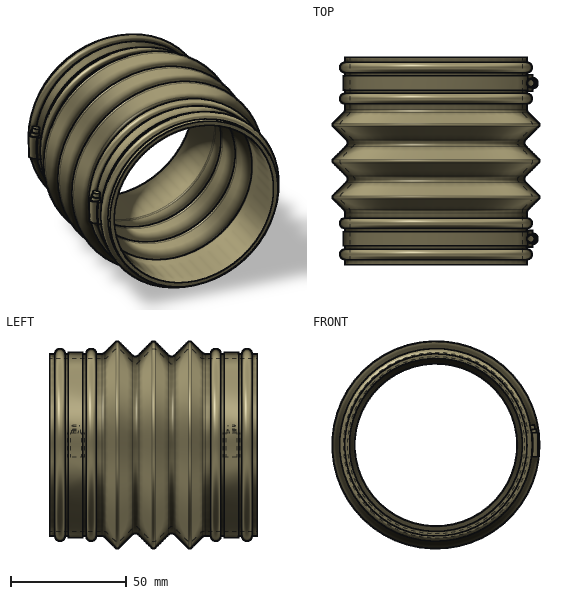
import math

import cadquery as cq

length = 90.0
half_length = length / 2
wall = 2.0
cuff_bore_radius = 37.5
cuff_radius = cuff_bore_radius + wall
root_depth = wall / 2
root_radius = cuff_radius - root_depth

fold_radius = 45.0
fold_count = 3
fold_pitch = 15.7
ridge_rounding = 1.0
groove_rounding = 2.0

bead_section_radius = 2.25
bead_offsets = (4.5, 18.0)

clamp_offset = sum(bead_offsets) / 2
band_radius = 40.25
band_width = 6.2

saddle_radius = 42.0
saddle_width = 7.3
saddle_length = 10.4
worm_housing_radius = 2.4
worm_housing_x = 41.8
screw_tilt = 12.0
screw_head_x = 41.2
screw_head_z = 7.5
screw_head_radius = 1.65
screw_head_height = 1.9
screw_collar_radius = 2.0
screw_collar_length = 2.5


def sharp_excess(rounding):
    """Distance from a sharp 90 degree corner to the crown of its rounding."""
    return rounding * (math.sqrt(2) - 1)


def fold_corners(end_radius, ridge_radius, ridge_round, groove_round):
    """Corners (radius, y, rounding) of one skin of the sleeve; ridge_radius is the sharp apex."""
    half_pitch = fold_pitch / 2
    groove_radius = ridge_radius - half_pitch
    last_ridge_y = fold_pitch * (fold_count - 1) / 2
    cuff_y = last_ridge_y + ridge_radius - end_radius
    corners = [(end_radius, -cuff_y, groove_round)]
    for fold in range(fold_count):
        ridge_y = fold * fold_pitch - last_ridge_y
        if fold > 0:
            corners.append((groove_radius, ridge_y - half_pitch, groove_round))
        corners.append((ridge_radius, ridge_y, ridge_round))
    corners.append((end_radius, cuff_y, groove_round))
    return corners


def rounded_outline(end_radius, corners):
    """Closed outline from the axis to the skin, each corner replaced by a tangent arc."""
    path = [(end_radius, -half_length, 0), *corners, (end_radius, half_length, 0)]
    outline = cq.Workplane("XY").moveTo(0, -half_length).lineTo(end_radius, -half_length)
    for before, corner, after in zip(path, path[1:], path[2:]):
        vertex = cq.Vector(corner[0], corner[1])
        back = (cq.Vector(before[0], before[1]) - vertex).normalized()
        ahead = (cq.Vector(after[0], after[1]) - vertex).normalized()
        half_angle = back.getAngle(ahead) / 2
        tangent_length = corner[2] / math.tan(half_angle)
        crown_distance = corner[2] / math.sin(half_angle) - corner[2]
        start = vertex + back * tangent_length
        crown = vertex + (back + ahead).normalized() * crown_distance
        end = vertex + ahead * tangent_length
        outline = outline.lineTo(start.x, start.y)
        outline = outline.threePointArc((crown.x, crown.y), (end.x, end.y))
    return outline.lineTo(end_radius, half_length).lineTo(0, half_length).close()


def revolve_about_y(outline):
    return outline.revolve(360, (0, 0, 0), (0, 1, 0))


def make_sleeve():
    outer_apex = fold_radius + sharp_excess(ridge_rounding)
    inner_apex = outer_apex - wall * math.sqrt(2)
    outer = fold_corners(cuff_radius, outer_apex, ridge_rounding, groove_rounding)
    inner = fold_corners(cuff_bore_radius, inner_apex, groove_rounding, ridge_rounding)
    body = revolve_about_y(rounded_outline(cuff_radius, outer))
    bore = revolve_about_y(rounded_outline(cuff_bore_radius, inner))
    return body.cut(bore)


def make_ring(inner_radius, outer_radius, width, y):
    """Flat ring about the Y axis, centred at y."""
    middle_radius = (inner_radius + outer_radius) / 2
    section = cq.Workplane("XY").center(middle_radius, y).rect(outer_radius - inner_radius, width)
    return section.revolve(360, (-middle_radius, 0, 0), (-middle_radius, 1, 0))


def make_bead(y):
    """Bead of circular section whose root is buried in the middle of the cuff wall."""
    crest_radius = cuff_radius + bead_section_radius
    half_root = math.sqrt(bead_section_radius**2 - root_depth**2)
    section = (
        cq.Workplane("XY")
        .moveTo(root_radius, y - half_root)
        .threePointArc((crest_radius, y), (root_radius, y + half_root))
        .close()
    )
    return revolve_about_y(section)


def make_screw(y):
    """Screw head and collar leaning inward toward the head end."""
    lean = math.radians(screw_tilt)
    axis = cq.Vector(-math.sin(lean), 0, math.cos(lean))
    head_base = cq.Vector(screw_head_x, y, screw_head_z) - axis * (screw_head_height / 2)
    head = cq.Solid.makeCylinder(screw_head_radius, screw_head_height, head_base, axis)
    collar = cq.Solid.makeCylinder(screw_collar_radius, screw_collar_length, head_base, axis * -1)
    return cq.Workplane(obj=head).union(cq.Workplane(obj=collar))


def make_clamp(y):
    band = make_ring(root_radius, band_radius, band_width, y)
    saddle_limits = cq.Workplane("XY").box(saddle_radius, saddle_width, saddle_length)
    saddle_limits = saddle_limits.translate((saddle_radius, y, 0))
    saddle = make_ring(root_radius, saddle_radius, saddle_width, y).intersect(saddle_limits)
    housing = cq.Workplane("XY").circle(worm_housing_radius).extrude(saddle_length / 2, both=True)
    housing = housing.translate((worm_housing_x, y, 0))
    return band.union(saddle).union(housing).union(make_screw(y))


result = make_sleeve()
for side in (-1, 1):
    for offset in bead_offsets:
        result = result.union(make_bead(side * (half_length - offset)))
    result = result.union(make_clamp(side * (half_length - clamp_offset)))